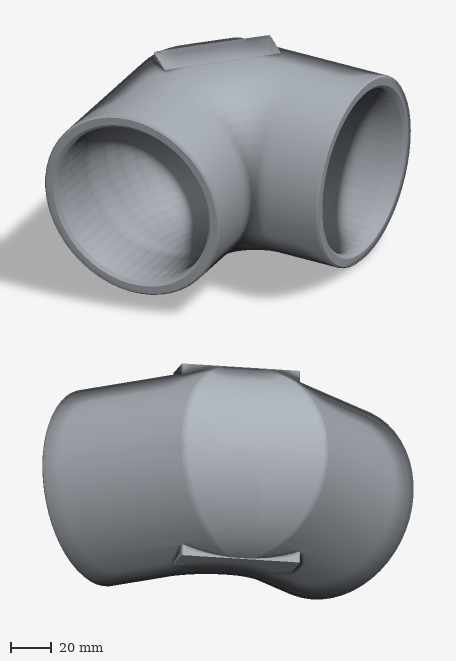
import cadquery as cq


outer_diameter = 98.1
outer_radius = outer_diameter / 2
overall_length = 134.0
leg_length = overall_length - outer_radius
rim_chamfer = 1.0

inner_bend_radius = 51.2
miter_offset = 2.1
miter_fillet = 4.0
seam_tolerance = 0.1

socket_diameter = 85.0
bend_diameter = 84.0
mouth_chamfer = 1.6
socket_depth = 30.2
bore_bend_radius = 48.0

pad_length = 60.0
pad_width = 19.5
pad_height = 98.2
pad_center = 5.1
pad_corner_radius = 1.0


def both_legs(profile):
    """Revolve a half profile (radius, Y) round the Y axis and copy it to the +X leg."""
    y_leg = profile.close().revolve(360, (0, 0, 0), (0, 1, 0))
    x_leg = y_leg.rotate((0, 0, 0), (0, 0, 1), 90)
    return y_leg.union(x_leg)


def make_legs():
    """Solid tubes with a chamfered outer rim."""
    profile = (
        cq.Workplane("XY")
        .moveTo(0, -leg_length)
        .lineTo(outer_radius - rim_chamfer, -leg_length)
        .lineTo(outer_radius, -leg_length + rim_chamfer)
        .lineTo(outer_radius, -miter_offset)
        .lineTo(0, -miter_offset)
    )
    return both_legs(profile)


def make_miter():
    """Middle section: a leg's end circle swept along the 45 degree line to the other leg."""
    reach = outer_radius + miter_offset
    circle = cq.Wire.makeCircle(outer_radius, cq.Vector(0, -miter_offset, 0), cq.Vector(0, 1, 0))
    sweep = cq.Workplane(cq.Solid.extrudeLinear(circle, [], cq.Vector(reach, reach, 0)))
    keep_size = 4 * overall_length
    keep = cq.Workplane("XY").box(keep_size, keep_size, keep_size)
    return sweep.intersect(keep.translate((miter_offset - keep_size / 2, 0, 0)))


def make_inner_corner():
    """Flat-topped block in the crook, hollowed to a torus."""
    block = (
        cq.Workplane("XY")
        .box(inner_bend_radius, inner_bend_radius, outer_diameter)
        .translate((inner_bend_radius / 2, -inner_bend_radius / 2, 0))
    )
    hollow = (
        cq.Workplane("XZ")
        .moveTo(0, -outer_radius)
        .lineTo(inner_bend_radius, -outer_radius)
        .threePointArc((inner_bend_radius - outer_radius, 0), (inner_bend_radius, outer_radius))
        .lineTo(0, outer_radius)
        .close()
        .revolve(360, (0, 0, 0), (0, 1, 0))
        .translate((inner_bend_radius, -inner_bend_radius, 0))
    )
    return block.cut(hollow)


def make_pads():
    """One diagonal block through the corner; its ends form both pads."""
    return (
        cq.Workplane("XY")
        .box(pad_length, pad_width, pad_height)
        .edges("|Z")
        .fillet(pad_corner_radius)
        .rotate((0, 0, 0), (0, 0, 1), 45)
        .translate((pad_center, -pad_center, 0))
    )


def make_bore():
    """Chamfered sockets, a short taper below each, and a quarter-torus bend joining them."""
    socket_radius = socket_diameter / 2
    bend_radius = bend_diameter / 2
    profile = (
        cq.Workplane("XY")
        .moveTo(0, -leg_length)
        .lineTo(socket_radius + mouth_chamfer, -leg_length)
        .lineTo(socket_radius, -leg_length + mouth_chamfer)
        .lineTo(socket_radius, -leg_length + socket_depth)
        .lineTo(bend_radius, -bore_bend_radius)
        .lineTo(0, -bore_bend_radius)
    )
    bend = (
        cq.Workplane("XZ", origin=(0, -bore_bend_radius, 0))
        .circle(bend_radius)
        .revolve(90, (bore_bend_radius, 0, 0), (bore_bend_radius, -1, 0))
    )
    return both_legs(profile).union(bend)


def round_miter_seams(body):
    """Round the two arcs where the middle section meets the legs."""
    y_leg_seam = cq.selectors.BoxSelector(
        (-outer_radius, -miter_offset - seam_tolerance, -outer_radius),
        (-miter_offset, -miter_offset + seam_tolerance, outer_radius),
    )
    x_leg_seam = cq.selectors.BoxSelector(
        (miter_offset - seam_tolerance, miter_offset, -outer_radius),
        (miter_offset + seam_tolerance, outer_radius, outer_radius),
    )
    return body.edges(y_leg_seam + x_leg_seam).fillet(miter_fillet)


outside = make_legs().union(make_miter()).union(make_inner_corner())
outside = round_miter_seams(outside)
result = outside.union(make_pads()).cut(make_bore())